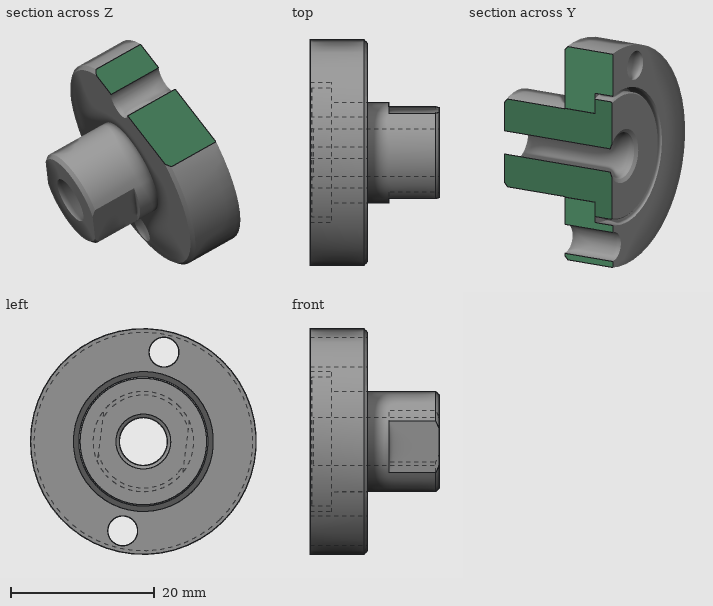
import cadquery as cq
import math

flange_diameter = 31.45
flange_thickness = 8.0
edge_chamfer = 0.5
recess_diameter = 19.5
recess_depth = 3.0

pin_hole_diameter = 4.12
pin_hole_circle_radius = 12.77
pin_hole_tilt = 13.0

overall_length = 18.0
shank_diameter = 14.0
head_diameter = 18.0
head_setback = 0.1
head_chamfer = 0.2
hub_bore_diameter = 6.65
bore_chamfer_width = 0.5
bore_chamfer_depth = 0.35

width_across_flats = 12.0
flat_offset = 3.0
flat_tilt = 7.3


def disc(diameter, start, end):
    """Solid cylinder along X from start to end."""
    return cq.Workplane("YZ", origin=(start, 0, 0)).circle(diameter / 2).extrude(end - start)


def make_flange():
    """Ring with a stepped bore for the hub and two through holes."""
    ring = disc(flange_diameter, 0, flange_thickness).faces(">X").edges().chamfer(edge_chamfer)
    ring = ring.cut(disc(recess_diameter, 0, recess_depth))
    ring = ring.cut(disc(shank_diameter, 0, flange_thickness))
    tilt = math.radians(pin_hole_tilt)
    hole_y = -pin_hole_circle_radius * math.sin(tilt)
    hole_z = pin_hole_circle_radius * math.cos(tilt)
    pin_holes = (
        cq.Workplane("YZ")
        .pushPoints([(hole_y, hole_z), (-hole_y, -hole_z)])
        .circle(pin_hole_diameter / 2)
        .extrude(flange_thickness)
    )
    return ring.cut(pin_holes)


def cut_flats(hub):
    """Trim two parallel flats on the end of the shank."""
    flat_start = flange_thickness + flat_offset
    flat_length = overall_length - flat_start
    for side in (-1, 1):
        waste = (
            cq.Workplane("XY")
            .box(flat_length, shank_diameter, shank_diameter)
            .translate((
                flat_start + flat_length / 2,
                side * (width_across_flats + shank_diameter) / 2,
                0,
            ))
            .rotate((0, 0, 0), (1, 0, 0), flat_tilt)
        )
        hub = hub.cut(waste)
    return hub


def make_hub():
    """Headed shank seated on the recess floor, with flats and a countersunk through bore."""
    head = disc(head_diameter, head_setback, recess_depth).faces("<X").edges().chamfer(head_chamfer)
    shank = disc(shank_diameter, recess_depth, overall_length).faces(">X").edges().chamfer(edge_chamfer)
    hub = cut_flats(head.union(shank))
    hub = hub.cut(disc(hub_bore_diameter, 0, overall_length))
    countersink_radius = hub_bore_diameter / 2 + bore_chamfer_width
    countersink = cq.Workplane(cq.Solid.makeCone(
        countersink_radius,
        hub_bore_diameter / 2,
        bore_chamfer_depth,
        pnt=cq.Vector(head_setback, 0, 0),
        dir=cq.Vector(1, 0, 0),
    ))
    return hub.cut(countersink)


flange = make_flange()
hub = make_hub()

result = cq.Compound.makeCompound([flange.val(), hub.val()])